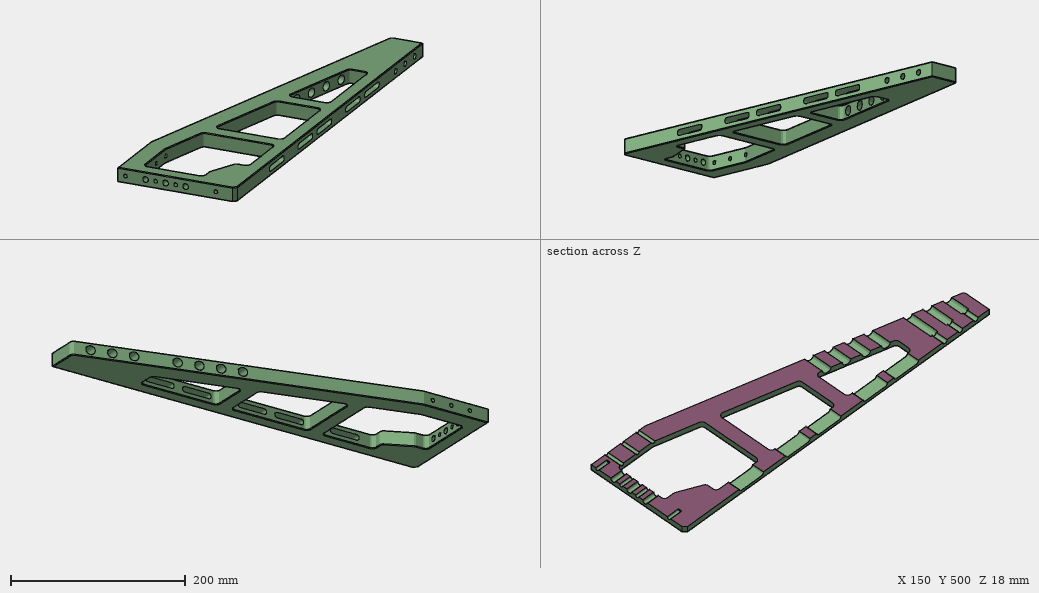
import cadquery as cq

width = 150.0
length = 500.0
thickness = 18.0
side_height = 89.0
tip_width = 40.5
outer_fillet = 5.0
corner_chamfer = 4.5
edge_break = 1.0

rail = 17.5
foot_rail = 18.0
left_wall = 25.0
sloped_wall = 28.5
rib = 20.0
window_pitch = 125.0
lowest_window_top = 140.0
window_fillet = 5.0

foot_block_left = 100.0
foot_block_low = 34.0
foot_block_top = 69.5
foot_block_step = 116.5

grid_span = 178.0
pitch = grid_span / 7
half_pitch = pitch / 2
first_bore_inset = 22.0
bore_diameter = 11.0
screw_diameter = 6.5
slot_width = 7.0
slot_overlength = 14.0
slot_length = pitch + slot_overlength
small_hole_diameter = 4.5
large_hole_diameter = 7.0
first_foot_hole = 10.0
cut_overrun = 5.0

screw_bore_steps = (0, 1, 2)
access_bore_steps = (4, 5, 6, 7)
slot_steps = (4.5, 6.5, 9.5, 11.5, 14.5)
side_hole_steps = (1, 2, 3)

small_foot_steps = (0, 3, 5, 9)
large_foot_steps = (2, 4, 6)

rail_face = width - rail
slope = (width - tip_width) / (length - side_height)


def sloped_wall_x(y):
    """X of the inner face of the sloped wall at a given Y."""
    return slope * (y - side_height) + sloped_wall


def prism(points):
    """Full-thickness solid over a closed outline, centred on Z = 0."""
    return cq.Workplane("XY").polyline(points).close().extrude(thickness / 2, both=True)


def hole_along_x(y, diameter, start, end):
    plane = cq.Workplane("YZ", origin=(start, 0, 0))
    return plane.center(y, 0).circle(diameter / 2).extrude(end - start)


def hole_along_y(x, diameter, depth):
    plane = cq.Workplane("XZ", origin=(x, 0, 0))
    return plane.circle(diameter / 2).extrude(-depth)


def make_plate():
    outline = [
        (0, 0),
        (width, 0),
        (width, length),
        (width - tip_width, length),
        (0, side_height),
    ]
    plate = prism(outline)
    sloped_face_middle = ((width - tip_width) / 2, (side_height + length) / 2, 0)
    sloped_face = cq.selectors.NearestToPointSelector(sloped_face_middle)
    plate = plate.faces(sloped_face).edges("|Z").fillet(outer_fillet)
    return plate.edges("|Z and >X").edges("<Y").chamfer(corner_chamfer)


def make_upper_window(top):
    bottom = top - window_pitch + rib
    outline = [
        (sloped_wall_x(bottom), bottom),
        (rail_face, bottom),
        (rail_face, top),
        (sloped_wall_x(top), top),
    ]
    return prism(outline).edges("|Z").fillet(window_fillet)


def make_lowest_window():
    top = lowest_window_top
    bend = side_height + (left_wall - sloped_wall) / slope
    outline = [
        (left_wall, foot_rail),
        (foot_block_left, foot_rail),
        (foot_block_left, foot_block_low),
        (foot_block_step, foot_block_top),
        (rail_face, foot_block_top),
        (rail_face, top),
        (sloped_wall_x(top), top),
        (left_wall, bend),
    ]
    return prism(outline).edges("|Z").fillet(window_fillet)


def make_slot(y):
    plane = cq.Workplane("YZ", origin=(rail_face - cut_overrun, 0, 0))
    return plane.center(y, 0).slot2D(slot_length, slot_width).extrude(rail + cut_overrun)


part = make_plate()

part = part.cut(make_lowest_window())
for step in (1, 2):
    part = part.cut(make_upper_window(lowest_window_top + step * window_pitch))

part = part.faces("|Z").edges().chamfer(edge_break)

first_bore = length - first_bore_inset
for step in screw_bore_steps + access_bore_steps:
    bore_y = first_bore - step * pitch
    part = part.cut(hole_along_x(bore_y, bore_diameter, 0, rail_face))
    if step in screw_bore_steps:
        part = part.cut(hole_along_x(bore_y, screw_diameter, 0, width))

for step in slot_steps:
    part = part.cut(make_slot(first_bore - step * pitch))

for step in side_hole_steps:
    part = part.cut(hole_along_x(step * pitch, small_hole_diameter, 0, left_wall + cut_overrun))

for step in small_foot_steps:
    part = part.cut(hole_along_y(first_foot_hole + step * half_pitch, small_hole_diameter, foot_rail))
for step in large_foot_steps:
    part = part.cut(hole_along_y(first_foot_hole + step * half_pitch, large_hole_diameter, foot_rail))

result = part